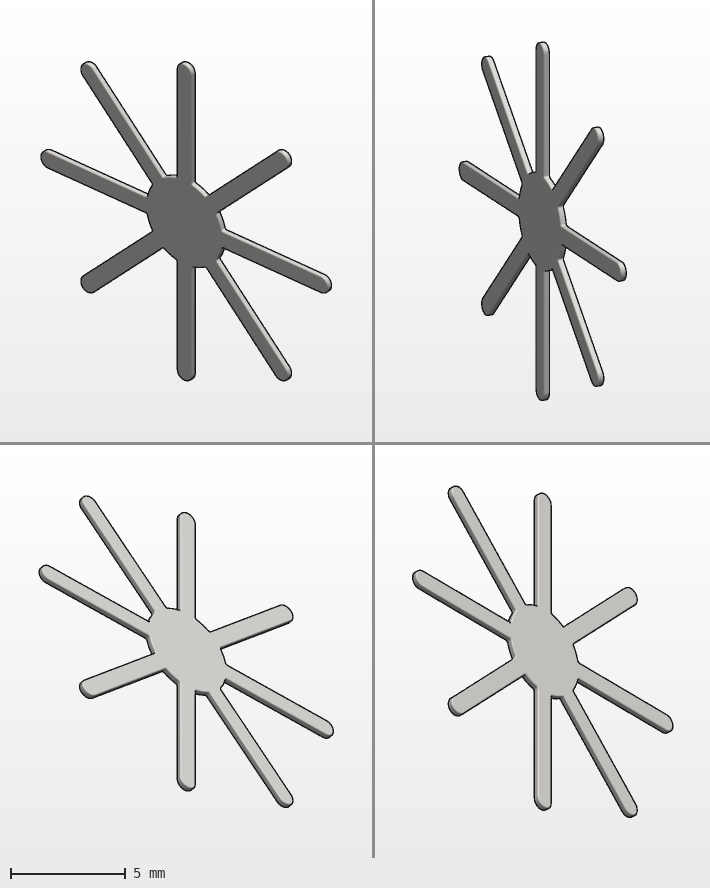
import cadquery as cq

span = 16.36
thickness = 0.3
hub_radius = 2.18
arm_width = 0.85
arm_count = 8
root_fillet = 0.1
edge_fillet = 0.07

tip_radius = arm_width / 2
tip_center = span / 2 - tip_radius


def plate(outline):
    """Extrude an outline drawn in the XZ plane, centred on Y = 0."""
    return outline.extrude(thickness / 2, both=True)


def arm(angle):
    """Straight arm from the hub centre with a round outer end."""
    outline = (
        cq.Workplane("XZ")
        .moveTo(0, -tip_radius)
        .lineTo(tip_center, -tip_radius)
        .threePointArc((span / 2, 0), (tip_center, tip_radius))
        .lineTo(0, tip_radius)
        .close()
    )
    return plate(outline).rotate((0, 0, 0), (0, 1, 0), angle)


star = plate(cq.Workplane("XZ").circle(hub_radius))
for index in range(arm_count):
    star = star.union(arm(index * 360 / arm_count))

root_zone = cq.selectors.BoxSelector(
    (-hub_radius, -thickness, -hub_radius),
    (hub_radius, thickness, hub_radius),
)
star = star.edges("|Y").edges(root_zone).fillet(root_fillet)

result = star.faces("<Y or >Y").edges().fillet(edge_fillet)